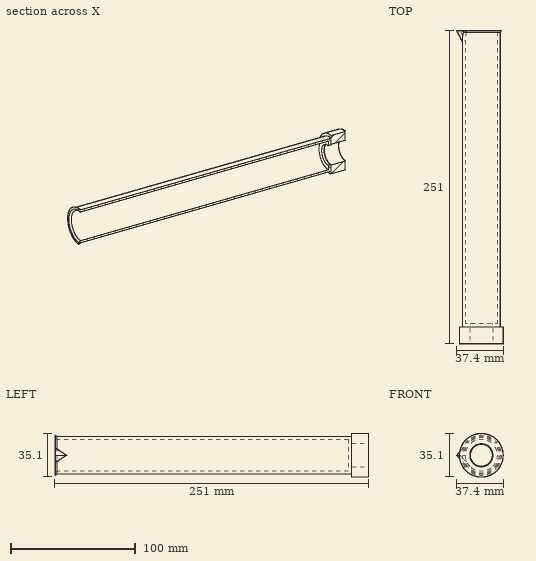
import cadquery as cq
import math

total_length = 251.0
foot_diameter = 35.1
foot_length = 13.8
foot_hole_diameter = 18.5

tube_diameter = 30.4
tube_bore_diameter = 25.5
tube_floor_thickness = 2.5
floor_hole_diameter = 17.5
mouth_diameter = 28.4
lip_diameter = 32.1
lip_length = 1.5

spout_reach = 19.8
spout_length = 9.3
spout_half_width = 7.0
spout_wall = 2.8
channel_back = 9.3

foot_y = -total_length / 2
mouth_y = total_length / 2
tube_y = foot_y + foot_length
lip_y = mouth_y - lip_length
bore_y = tube_y + tube_floor_thickness

ridge_slope = (spout_reach - tube_diameter / 2) / spout_length
flank_root = math.sqrt((tube_diameter / 2) ** 2 - spout_half_width**2)
flank_slope = spout_half_width / (spout_reach - flank_root)


def revolve_about_y(profile):
    """Solid of revolution of (radius, y) points about the Y axis."""
    return cq.Workplane("XY").polyline(profile).close().revolve(360, (0, 0, 0), (0, 1, 0))


def make_foot():
    outer = foot_diameter / 2
    inner = foot_hole_diameter / 2
    return revolve_about_y([(inner, foot_y), (outer, foot_y), (outer, tube_y), (inner, tube_y)])


def make_spout_wedge(tip_radius, back_radius):
    """Pyramid standing on the mouth plane: a tip, two flanks and a flat back at x = -back_radius."""
    reach = tip_radius - back_radius
    half_width = flank_slope * reach
    tip = cq.Vector(-tip_radius, mouth_y, 0)
    upper = cq.Vector(-back_radius, mouth_y, half_width)
    lower = cq.Vector(-back_radius, mouth_y, -half_width)
    apex = cq.Vector(-back_radius, mouth_y - reach / ridge_slope, 0)
    triangles = [(tip, upper, lower), (tip, upper, apex), (tip, lower, apex), (upper, lower, apex)]
    faces = [cq.Face.makeFromWires(cq.Wire.makePolygon(corners, close=True)) for corners in triangles]
    return cq.Workplane(cq.Solid.makeSolid(cq.Shell.makeShell(faces)))


def make_tube():
    outer = tube_diameter / 2
    body = revolve_about_y([
        (0, tube_y), (outer, tube_y), (outer, lip_y), (lip_diameter / 2, mouth_y), (0, mouth_y),
    ])
    bore = tube_bore_diameter / 2
    floor_hole = floor_hole_diameter / 2
    cavity = revolve_about_y([
        (0, tube_y), (floor_hole, tube_y), (floor_hole, bore_y), (bore, bore_y),
        (bore, lip_y), (mouth_diameter / 2, mouth_y), (0, mouth_y),
    ])
    spout = make_spout_wedge(spout_reach, flank_root)
    channel = make_spout_wedge(spout_reach - spout_wall, channel_back)
    return body.union(spout).cut(cavity).cut(channel)


foot = make_foot()
tube = make_tube()
result = cq.Compound.makeCompound([foot.val(), tube.solids().val()])